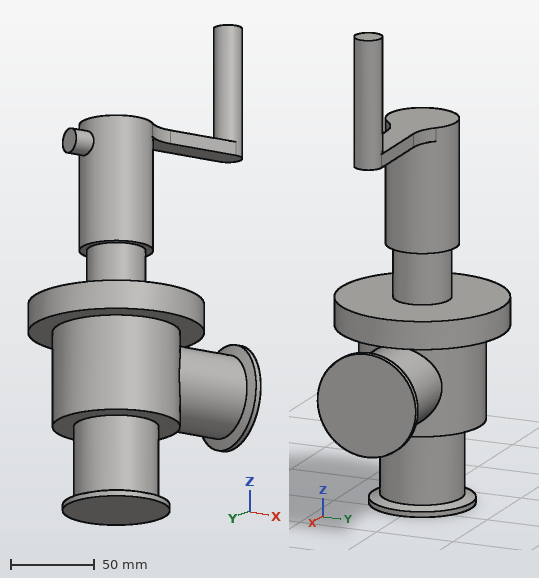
import cadquery as cq
import math

tube_diameter = 50.7
body_diameter = 76.2
body_bottom = 52.0
body_top = 110.5
bonnet_diameter = 105.0
bonnet_top = 127.8
stem_diameter = 35.0
sleeve_diameter = 44.0
sleeve_bottom = 161.0
sleeve_top = 238.8

ferrule_diameter = 64.0
ferrule_rim = 3.5
ferrule_height = 5.5
outlet_reach = 82.0
outlet_height = outlet_reach

overall_length = 140.5
overall_height = 311.0
handle_diameter = 17.0
arm_width = handle_diameter
arm_thickness = 8.5
arm_fillet = 25.0
pin_diameter = 15.0
pin_reach = 33.3
pin_height = 224.2
handle_x = overall_length - bonnet_diameter / 2 - handle_diameter / 2


def cylinder(diameter, bottom, top, x=0):
    """Upright cylinder between two heights."""
    plane = cq.Workplane("XY").workplane(offset=bottom).center(x, 0)
    return plane.circle(diameter / 2).extrude(top - bottom)


def ferruled_tube(length):
    """Upright tube with a conical-backed ferrule at its lower end."""
    profile = [
        (0, 0),
        (ferrule_diameter / 2, 0),
        (ferrule_diameter / 2, ferrule_rim),
        (tube_diameter / 2, ferrule_height),
        (tube_diameter / 2, length),
        (0, length),
    ]
    return cq.Workplane("XZ").polyline(profile).close().revolve(360, (0, 0), (0, 1))


def crank_arm():
    """Flat arm whose sides blend tangentially into the round sleeve."""
    sleeve_radius = sleeve_diameter / 2
    half_width = arm_width / 2
    fillet_y = half_width + arm_fillet
    center_distance = sleeve_radius + arm_fillet
    fillet_x = math.sqrt(center_distance**2 - fillet_y**2)
    tangent_x = fillet_x * sleeve_radius / center_distance
    tangent_y = fillet_y * sleeve_radius / center_distance
    return (
        cq.Workplane("XY")
        .workplane(offset=sleeve_top - arm_thickness)
        .moveTo(0, -tangent_y)
        .lineTo(tangent_x, -tangent_y)
        .radiusArc((fillet_x, -half_width), arm_fillet)
        .lineTo(handle_x, -half_width)
        .lineTo(handle_x, half_width)
        .lineTo(fillet_x, half_width)
        .radiusArc((tangent_x, tangent_y), arm_fillet)
        .lineTo(0, tangent_y)
        .close()
        .extrude(arm_thickness)
    )


def side_pin():
    """Horizontal pin standing out of the sleeve toward -X."""
    return (
        cq.Workplane("YZ", origin=(-pin_reach, 0, pin_height))
        .circle(pin_diameter / 2)
        .extrude(pin_reach)
    )


inlet = ferruled_tube(body_bottom)
outlet = (
    ferruled_tube(outlet_reach)
    .rotate((0, 0, 0), (0, 1, 0), -90)
    .translate((outlet_reach, 0, outlet_height))
)

result = (
    inlet
    .union(cylinder(body_diameter, body_bottom, body_top))
    .union(outlet)
    .union(cylinder(bonnet_diameter, body_top, bonnet_top))
    .union(cylinder(stem_diameter, bonnet_top, sleeve_bottom))
    .union(cylinder(sleeve_diameter, sleeve_bottom, sleeve_top))
    .union(crank_arm())
    .union(cylinder(handle_diameter, sleeve_top - arm_thickness, overall_height, handle_x))
    .union(side_pin())
)